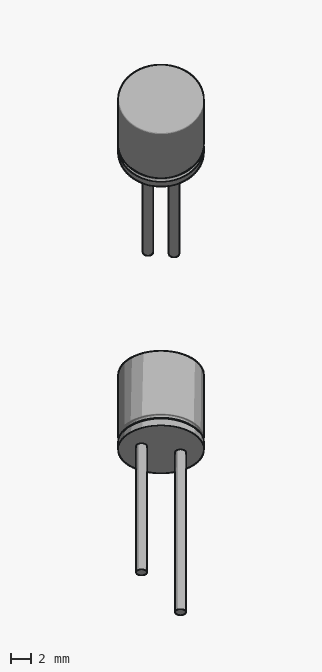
import cadquery as cq
import math

total_height = 28.0
body_radius = 4.25
body_height = 9.0
top_round = 0.2
body_bottom = total_height - body_height

groove_depth = 0.25
base_height = 1.1
floor_height = 0.1
lip_round = 0.08

lead_diameter = 1.1
lead_spacing = 4.0
long_lead_length = body_bottom
short_lead_length = 15.0

groove_floor_radius = body_radius - groove_depth
joint_z = body_bottom + base_height
arc_inset = 1 - math.sqrt(0.5)


def revolve_profile(profile):
    """Turn a closed half-section, drawn in X and Z, around the Z axis."""
    return profile.close().revolve(360, (0, 0, 0), (0, 1, 0))


def make_base():
    """Base disc whose upper edge flares out of the groove floor in a concave quarter arc."""
    rim_z = joint_z - groove_depth
    flare_middle = (
        groove_floor_radius + groove_depth * arc_inset,
        joint_z - groove_depth * (1 - arc_inset),
    )
    profile = (
        cq.Workplane("XZ")
        .moveTo(0, body_bottom)
        .lineTo(body_radius, body_bottom)
        .lineTo(body_radius, rim_z)
        .threePointArc(flare_middle, (groove_floor_radius, joint_z))
        .lineTo(0, joint_z)
    )
    return revolve_profile(profile)


def make_can():
    """Can with a rounded top edge and an S-shaped lip above the groove floor."""
    floor_top_z = joint_z + floor_height
    cove_radius = groove_depth - lip_round
    lip_z = floor_top_z + cove_radius
    lip_radius = body_radius - lip_round
    cove_middle = (
        groove_floor_radius + cove_radius * arc_inset,
        lip_z - cove_radius * arc_inset,
    )
    lip_middle = (body_radius - lip_round * arc_inset, lip_z + lip_round * arc_inset)
    top_middle = (body_radius - top_round * arc_inset, total_height - top_round * arc_inset)
    profile = (
        cq.Workplane("XZ")
        .moveTo(0, joint_z)
        .lineTo(groove_floor_radius, joint_z)
        .lineTo(groove_floor_radius, floor_top_z)
        .threePointArc(cove_middle, (lip_radius, lip_z))
        .threePointArc(lip_middle, (body_radius, lip_z + lip_round))
        .lineTo(body_radius, total_height - top_round)
        .threePointArc(top_middle, (body_radius - top_round, total_height))
        .lineTo(0, total_height)
    )
    return revolve_profile(profile)


def make_lead(x, length):
    """Straight round lead hanging from the flat underside of the base."""
    return (
        cq.Workplane("XY", origin=(x, 0, body_bottom - length))
        .circle(lead_diameter / 2)
        .extrude(length)
    )


base = make_base()
can = make_can()

lead_places = [(-lead_spacing / 2, long_lead_length), (lead_spacing / 2, short_lead_length)]
leads = [make_lead(x, length) for x, length in lead_places]

result = cq.Compound.makeCompound([base.val(), can.val(), *[lead.val() for lead in leads]])